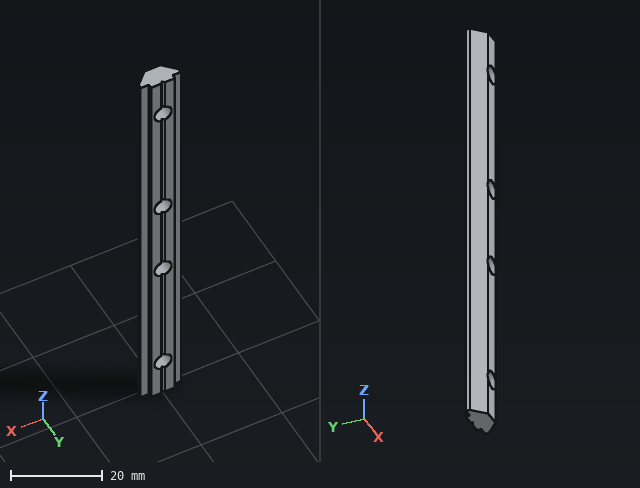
import cadquery as cq

LENGTH = 100.0
LIP_WIDTH = 10.0
DEPTH = 5.0
FRONT_WIDTH = 4.0
RIB_WIDTH = 6.0
RIB_HEIGHT = 1.0
RIB_CHAMFER = 0.15

GROOVE_WIDTH = 1.0
GROOVE_DEPTH = GROOVE_WIDTH / 2

HOLE_DIAMETER = 4.2
HOLE_OFFSETS = (10.0, 40.0)

BEVEL = (LIP_WIDTH - FRONT_WIDTH) / 2
BACK_Y = DEPTH / 2
FRONT_Y = -DEPTH / 2
LIP_BACK_Y = BACK_Y - RIB_HEIGHT
LIP_FRONT_Y = FRONT_Y + BEVEL


def make_bar():
    """Extrude the symmetric section, outlined on its +X half and mirrored."""
    half_section = [
        (0, FRONT_Y),
        (FRONT_WIDTH / 2, FRONT_Y),
        (LIP_WIDTH / 2, LIP_FRONT_Y),
        (LIP_WIDTH / 2, LIP_BACK_Y),
        (RIB_WIDTH / 2, LIP_BACK_Y),
        (RIB_WIDTH / 2, BACK_Y - RIB_CHAMFER),
        (RIB_WIDTH / 2 - RIB_CHAMFER, BACK_Y),
        (GROOVE_WIDTH / 2, BACK_Y),
        (0, BACK_Y - GROOVE_DEPTH),
    ]
    base = cq.Workplane("XY", origin=(0, 0, -LENGTH / 2))
    return base.polyline(half_section).mirrorY().extrude(LENGTH)


def make_hole(z):
    """Cutter for one plain hole running through the bar along Y."""
    return (
        cq.Workplane("XZ", origin=(0, 0, z))
        .circle(HOLE_DIAMETER / 2)
        .extrude(DEPTH, both=True)
    )


result = make_bar()
for offset in HOLE_OFFSETS:
    for side in (-1, 1):
        result = result.cut(make_hole(side * offset))